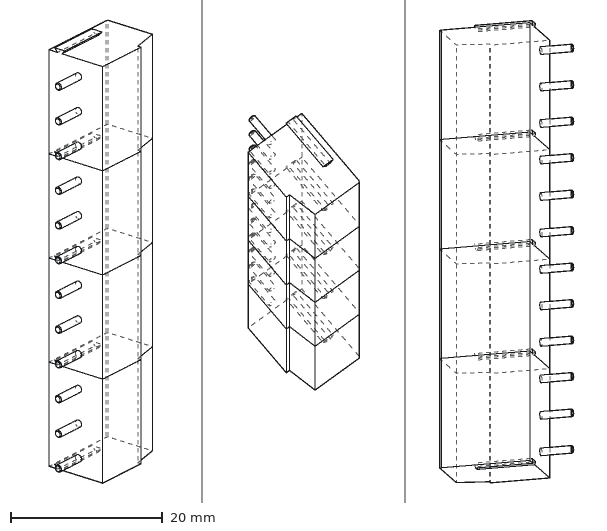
import cadquery as cq

total_height = 60.5
module_count = 4
tongue_height = 0.55
module_height = (total_height - tongue_height) / module_count

width = 9.0
total_depth = 16.9
pin_length = 4.4
depth = total_depth - pin_length
ledge_y = 8.15
ledge_width = 0.55
back_width = 7.55
corner_chamfer_x = 0.1
corner_chamfer_y = 0.3

dovetail_center_x = 1.8
dovetail_root_width = 0.7
dovetail_tip_width = 1.7
dovetail_length = 7.9

pins_per_module = 3
pin_pitch = module_height / pins_per_module
pin_x = 4.95
pin_diameter = 1.0
pin_chamfer = 0.1


def make_block():
    """Plain module block with the sloped +X side and its small ledge."""
    return (
        cq.Workplane("XY")
        .moveTo(0, 0)
        .lineTo(width, 0)
        .lineTo(width, ledge_y)
        .lineTo(width - ledge_width, ledge_y)
        .lineTo(back_width, depth)
        .lineTo(corner_chamfer_x, depth)
        .lineTo(0, depth - corner_chamfer_y)
        .close()
        .extrude(module_height)
    )


def make_dovetail(base_z):
    """Dovetail bar that widens upward from base_z and starts at the pin face."""
    half_root = dovetail_root_width / 2
    half_tip = dovetail_tip_width / 2
    return (
        cq.Workplane("XZ")
        .moveTo(dovetail_center_x - half_root, base_z)
        .lineTo(dovetail_center_x + half_root, base_z)
        .lineTo(dovetail_center_x + half_tip, base_z + tongue_height)
        .lineTo(dovetail_center_x - half_tip, base_z + tongue_height)
        .close()
        .extrude(-dovetail_length)
    )


def make_pin(center_z):
    """Round pin with a chamfered tip, standing out of the pin face toward -Y."""
    return (
        cq.Workplane("XZ")
        .center(pin_x, center_z)
        .circle(pin_diameter / 2)
        .extrude(pin_length)
        .faces("<Y")
        .chamfer(pin_chamfer)
    )


def make_module():
    """One terminal module: block, tongue on top, matching groove below, pins."""
    module = make_block()
    module = module.union(make_dovetail(module_height))
    module = module.cut(make_dovetail(0))
    for index in range(pins_per_module):
        module = module.union(make_pin((index + 0.5) * pin_pitch))
    return module


modules = [
    make_module().translate((0, 0, index * module_height)).val()
    for index in range(module_count)
]

result = cq.Compound.makeCompound(modules)